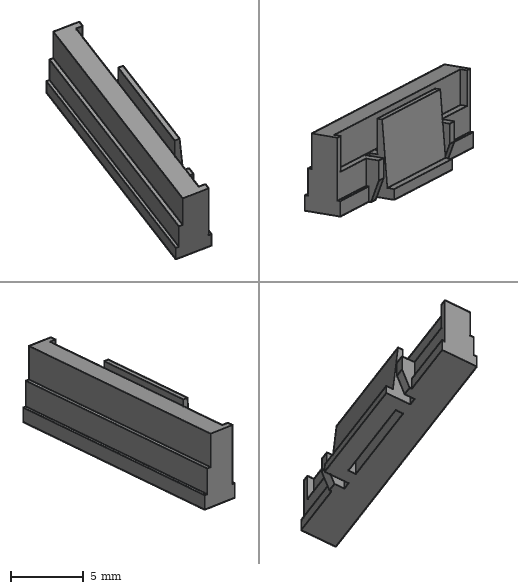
import cadquery as cq

length = 18.75
depth = 4.15
height = 5.7

foot_height = 1.12
shoulder_height = 3.11
foot_back = 2.83
body_back = 2.6
middle_front = 0.25
upper_front = 0.55

end_wall = 0.49
recess_back = 2.08
recess_length = length - 2 * end_wall

bay_length = 9.32
bay_back = 2.2
rail_width = 0.68
rail_back = depth - 0.52
rail_chamfer_depth = 0.62
rail_chamfer_height = 1.65

latch_length = 8.2
latch_front = 2.8
latch_top_thickness = 0.4
latch_heel_back = depth - 0.55
latch_lip_height = 0.79
web_width = 0.95


def extrude_along_x(points, x_start, width):
    """Extrude a closed outline of (Y, Z) points in +X from x_start."""
    return cq.Workplane("YZ", origin=(x_start, 0, 0)).polyline(points).close().extrude(width)


def box_between(x_start, width, y_range, z_range):
    """Box given by its X start and width and its Y and Z limits."""
    y_low, y_high = y_range
    z_low, z_high = z_range
    return cq.Workplane("XY", origin=(x_start, y_low, z_low)).box(
        width, y_high - y_low, z_high - z_low, centered=False
    )


def make_body():
    """Full-length stepped body with the back recess and the latch bay removed."""
    body = extrude_along_x(
        [
            (0, 0),
            (foot_back, 0),
            (foot_back, foot_height),
            (body_back, foot_height),
            (body_back, height),
            (upper_front, height),
            (upper_front, shoulder_height),
            (middle_front, shoulder_height),
            (middle_front, foot_height),
            (0, foot_height),
        ],
        -length / 2,
        length,
    )
    recess = box_between(
        -recess_length / 2, recess_length, (recess_back, body_back), (shoulder_height, height)
    )
    bay = box_between(-bay_length / 2, bay_length, (bay_back, foot_back), (0, shoulder_height))
    return body.cut(recess).cut(bay)


def make_rail(x_start):
    """Guard rail beside the latch, with its lower back corner sloped off."""
    return extrude_along_x(
        [
            (bay_back, 0),
            (rail_back - rail_chamfer_depth, 0),
            (rail_back, rail_chamfer_height),
            (rail_back, shoulder_height),
            (bay_back, shoulder_height),
        ],
        x_start,
        rail_width,
    )


def make_latch_arm():
    """Upright arm that thickens downwards and ends in a catch lip at the base."""
    return extrude_along_x(
        [
            (latch_front, 0),
            (depth, 0),
            (depth, latch_lip_height),
            (latch_heel_back, latch_lip_height),
            (latch_front + latch_top_thickness, height),
            (latch_front, height),
        ],
        -latch_length / 2,
        latch_length,
    )


def make_web(x_start):
    """Web that ties one end of the latch arm to the body."""
    return box_between(x_start, web_width, (bay_back, latch_front), (0, shoulder_height))


result = make_body().union(make_latch_arm())
for rail_start in (-bay_length / 2 - rail_width, bay_length / 2):
    result = result.union(make_rail(rail_start))
for web_start in (-latch_length / 2, latch_length / 2 - web_width):
    result = result.union(make_web(web_start))